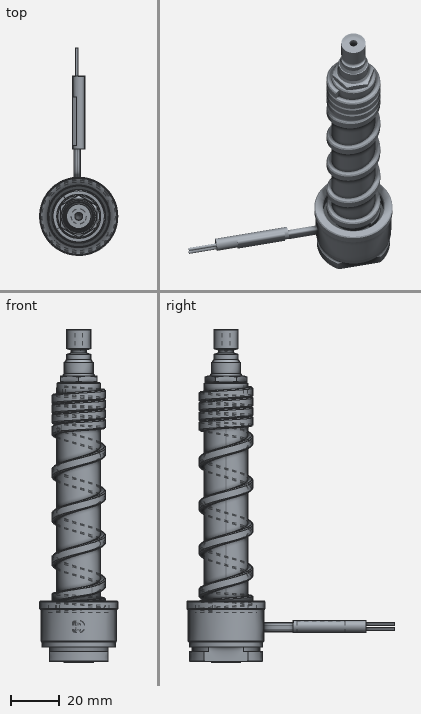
import cadquery as cq
import math

overall_height = 136.2

pad_radius = 6.0
pad_height = 0.4
base_radius = 15.0
base_chamfer = 0.3
base_top = 4.4
base_flat_distance = 12.0
base_neck_radius = 14.0
base_neck_top = 6.3
ring_top = 8.3
body_radius = 15.5
body_chamfer = 0.5
body_top = 21.6
flange_radius = 16.0
flange_chamfer = 0.4
cap_top = 25.2
recess_radius = 12.4
recess_chamfer = 0.4
recess_floor = 20.5

tube_radius = 9.0
tube_chamfer = 0.5
tube_top = 114.6
hex_across_flats = 15.0
hex_top = 117.3
hex_crown_radius = 7.2
hex_crown_height = 0.5
journal_flare_radius = 6.6
journal_bottom = 118.3
journal_radius = 6.0
journal_top = 122.8
shoulder_cone_radius = 5.7
shoulder_bottom = 124.0
knob_radius = 5.0
shoulder_top = 126.1
knob_bottom = 128.5
neck_radius = 3.1
neck_slope_height = 0.6
center_hole_radius = 1.6
center_hole_depth = 8.0
drill_point_angle = 118.0

rib_outer_radius = 11.0
rib_embed = 0.5
rib_height = 3.9
rib_chamfer = 0.5
fine_pitch = 4.0
coarse_pitch = 18.0
blend_pitch = (fine_pitch + coarse_pitch) / 2
blend_turn = 90.0
lower_fine_start_angle = -150.0
lower_fine_start_height = 22.8
lower_fine_turn = 360.0
coarse_turn = 3 * 360.0 + 200.0
upper_fine_turn = 3 * 360.0 + 257.0

sleeve_height = 14.7
cable_height = 14.4
cable_start = 14.0
cable_left = -2.0
cable_right = 0.7
cable_thickness = 3.8
cable_left_rounding = 0.7
cable_right_rounding = 1.1
sleeve_radius = 2.5
sleeve_start = 27.5
sleeve_length = 29.9
grip_start = 29.1
grip_length = 19.7
grip_reach = 2.55
grip_thickness = 4.66
grip_rounding = 1.05
wire_radius = 0.6
wire_spacing = 2.05
wire_x = -0.8
wire_end = 69.0


def disc(radius, bottom, top):
    """Upright cylinder on the main axis."""
    return cq.Workplane("XY").workplane(offset=bottom).circle(radius).extrude(top - bottom)


def make_base():
    """Stepped base with two parallel wrench flats facing -X and +X."""
    foot = disc(base_radius, pad_height, base_top).faces("<Z").chamfer(base_chamfer)
    base = foot.union(disc(base_neck_radius, base_top, base_neck_top))
    between_flats = cq.Workplane("XY").box(
        2 * base_flat_distance, 2 * base_radius, base_neck_top, centered=(True, True, False)
    )
    return base.intersect(between_flats).union(disc(pad_radius, 0, pad_height))


def make_cap():
    """Round housing with a rim flange and a recess around the tube."""
    body = disc(body_radius, ring_top, body_top).faces("<Z").chamfer(body_chamfer)
    flange = disc(flange_radius, body_top, cap_top).edges().chamfer(flange_chamfer)
    cap = disc(base_radius, base_neck_top, ring_top).union(body).union(flange)
    recess = disc(recess_radius, recess_floor, cap_top)
    mouth = (
        cq.Workplane("XY")
        .workplane(offset=cap_top - recess_chamfer)
        .circle(recess_radius)
        .workplane(offset=recess_chamfer)
        .circle(recess_radius + recess_chamfer)
        .loft(combine=True)
    )
    return cap.cut(recess).cut(mouth)


def make_spindle():
    """Journal, shoulder, grooved neck and end knob turned as one profile."""
    profile = [
        (0, hex_top),
        (journal_flare_radius, hex_top),
        (journal_radius, journal_bottom),
        (journal_radius, journal_top),
        (shoulder_cone_radius, journal_top),
        (knob_radius, shoulder_bottom),
        (knob_radius, shoulder_top),
        (neck_radius, shoulder_top + neck_slope_height),
        (neck_radius, knob_bottom - neck_slope_height),
        (knob_radius, knob_bottom),
        (knob_radius, overall_height),
        (0, overall_height),
    ]
    return cq.Workplane("XZ").polyline(profile).close().revolve(360, (0, 0), (0, 1))


def make_hex():
    """Hexagonal collar with flats facing -X and +X and corners crowned at both ends."""
    across_corners = hex_across_flats / math.cos(math.radians(30))
    prism = (
        cq.Workplane("XY")
        .workplane(offset=tube_top)
        .polygon(6, across_corners)
        .extrude(hex_top - tube_top)
        .rotate((0, 0, 0), (0, 0, 1), 30)
    )
    corner_radius = across_corners / 2
    crown = (
        disc(corner_radius, tube_top, hex_top)
        .edges()
        .chamfer(hex_crown_height, corner_radius - hex_crown_radius)
    )
    return prism.intersect(crown)


def make_center_hole():
    """Drilled hole with a conical bottom in the end of the knob."""
    point_depth = center_hole_radius / math.tan(math.radians(drill_point_angle / 2))
    wall_bottom = overall_height - center_hole_depth
    profile = [
        (0, overall_height),
        (center_hole_radius, overall_height),
        (center_hole_radius, wall_bottom),
        (0, wall_bottom - point_depth),
    ]
    return cq.Workplane("XZ").polyline(profile).close().revolve(360, (0, 0), (0, 1))


def make_rib(pitch, start_angle, start_height, turn):
    """Rib with chamfered crest climbing the tube; start_height is the middle of the rib."""
    inner_radius = tube_radius - rib_embed
    path = cq.Wire.makeHelix(pitch, pitch * turn / 360, tube_radius)
    half_base = rib_height / 2
    half_crest = half_base - rib_chamfer
    outline = [
        (inner_radius, -half_base),
        (rib_outer_radius - rib_chamfer, -half_base),
        (rib_outer_radius, -half_crest),
        (rib_outer_radius, half_crest),
        (rib_outer_radius - rib_chamfer, half_base),
        (inner_radius, half_base),
    ]
    section = cq.Workplane("XZ").polyline(outline).close()
    rib = section.sweep(cq.Workplane(path), isFrenet=True)
    return rib.rotate((0, 0, 0), (0, 0, 1), start_angle).translate((0, 0, start_height))


def add_ribs(part):
    """Close coils in the cap, wide coils along the tube, close coils near its top."""
    angle = lower_fine_start_angle
    height = lower_fine_start_height
    stretches = [
        (fine_pitch, lower_fine_turn),
        (blend_pitch, blend_turn),
        (coarse_pitch, coarse_turn),
        (blend_pitch, blend_turn),
        (fine_pitch, upper_fine_turn),
    ]
    for pitch, turn in stretches:
        part = part.union(make_rib(pitch, angle, height, turn))
        angle += turn
        height += pitch * turn / 360
    return part


def bar_along_y(x, z, start):
    """Workplane at Y = start whose extrusions run toward +Y, with local X as -X and local Y as Z."""
    return cq.Workplane(cq.Plane(origin=(x, start, z), xDir=(-1, 0, 0), normal=(0, 1, 0)))


def make_cable():
    """Flat cable, sleeve with a flat-faced grip, and two bare wires."""
    cable_width = cable_right - cable_left
    cable = (
        bar_along_y((cable_left + cable_right) / 2, cable_height, cable_start)
        .rect(cable_width, cable_thickness)
        .extrude(sleeve_start - cable_start)
        .edges("|Y and <X")
        .fillet(cable_left_rounding)
        .edges("|Y and >X")
        .fillet(cable_right_rounding)
    )
    sleeve = bar_along_y(0, sleeve_height, sleeve_start).circle(sleeve_radius).extrude(sleeve_length)
    grip = (
        bar_along_y(-grip_reach / 2, sleeve_height, grip_start)
        .rect(grip_reach, grip_thickness)
        .extrude(grip_length)
        .edges("|Y and <X")
        .fillet(grip_rounding)
    )
    assembly = cable.union(sleeve).union(grip)
    sleeve_end = sleeve_start + sleeve_length
    for side in (-1, 1):
        wire_z = sleeve_height + side * wire_spacing / 2
        wire = bar_along_y(wire_x, wire_z, sleeve_end).circle(wire_radius).extrude(wire_end - sleeve_end)
        assembly = assembly.union(wire)
    return assembly


tube = disc(tube_radius, recess_floor, tube_top).faces(">Z").chamfer(tube_chamfer)
ribbed_tube = add_ribs(tube)
spindle = make_hex().union(make_spindle()).cut(make_center_hole())
housing = make_base().union(make_cap()).union(make_cable())
result = housing.union(ribbed_tube).union(spindle)